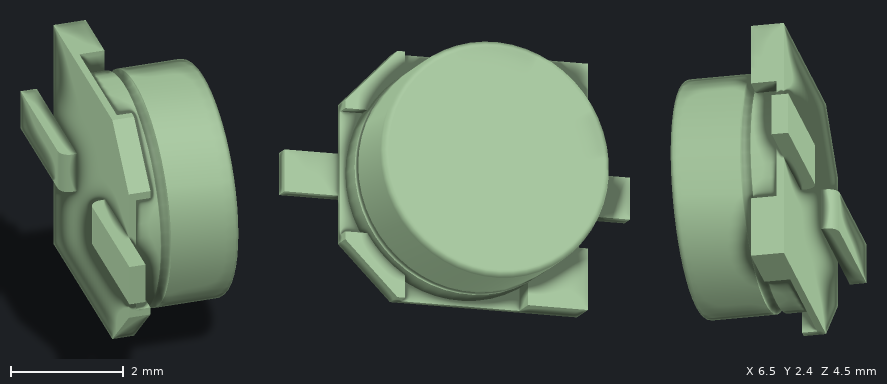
import cadquery as cq


overall_length = 6.5
lead_length = 2.405
lead_width = 0.77
lead_thickness = 0.3
lead_end_radius = 0.2

base_side = 4.5
base_corner_cut = 0.98
base_floor = 0.13
tall_post_height = 0.6
short_post_height = 0.4
window_width = base_side / 2

overall_depth = 2.4
can_top = overall_depth - lead_thickness
can_radius = 2.15
can_top_fillet = 0.12
groove_radius = 0.1
groove_height = 0.72


def make_base():
    """Square tray with two cut corners, a round seat and a post at each corner."""
    half = base_side / 2
    base = cq.Workplane("XY").box(
        base_side, tall_post_height, base_side, centered=(True, False, True)
    )

    post_step = (
        cq.Workplane("XY")
        .box(half, tall_post_height, base_side, centered=(False, False, True))
        .translate((0, short_post_height, 0))
    )
    base = base.cut(post_step)
    base = base.edges("|Y and >X").chamfer(base_corner_cut)

    window_along_x = (
        cq.Workplane("XY")
        .box(base_side, tall_post_height, window_width, centered=(True, False, True))
        .translate((0, base_floor, 0))
    )
    window_along_z = window_along_x.rotate((0, 0, 0), (0, 1, 0), 90)
    base = base.cut(window_along_x).cut(window_along_z)

    seat = make_cylinder(base_floor, can_top)
    return base.cut(seat).solids()


def make_cylinder(bottom, top):
    """Cylinder of the can's radius between two heights along Y."""
    return cq.Workplane("XZ", origin=(0, bottom, 0)).circle(can_radius).extrude(bottom - top)


def make_groove():
    """Ring that cuts the half-round groove shared by the header and the can."""
    return (
        cq.Workplane("XY")
        .center(can_radius, groove_height)
        .circle(groove_radius)
        .revolve(360, (-can_radius, 0, 0), (-can_radius, 1, 0))
    )


def make_header():
    """Round header in the base; its rim forms the lower half of the groove."""
    return make_cylinder(base_floor, groove_height).cut(make_groove()).solids()


def make_can():
    """Round can with a rounded top; its lower rim forms the upper half of the groove."""
    can = make_cylinder(groove_height, can_top).edges(">Y").fillet(can_top_fillet)
    return can.cut(make_groove()).solids()


def make_lead(side):
    """Flat lead on the -X (side = -1) or +X (side = 1) side, its inner end rounded underneath."""
    center_x = side * (overall_length - lead_length) / 2
    inner_edge = "<X" if side > 0 else ">X"
    return (
        cq.Workplane("XY")
        .box(lead_length, lead_thickness, lead_width)
        .translate((center_x, -lead_thickness / 2, 0))
        .faces("<Y")
        .edges(inner_edge)
        .fillet(lead_end_radius)
        .solids()
    )


base = make_base()
header = make_header()
can = make_can()
leads = [make_lead(side) for side in (-1, 1)]

result = cq.Compound.makeCompound(
    [base.val(), header.val(), can.val(), *[lead.val() for lead in leads]]
)